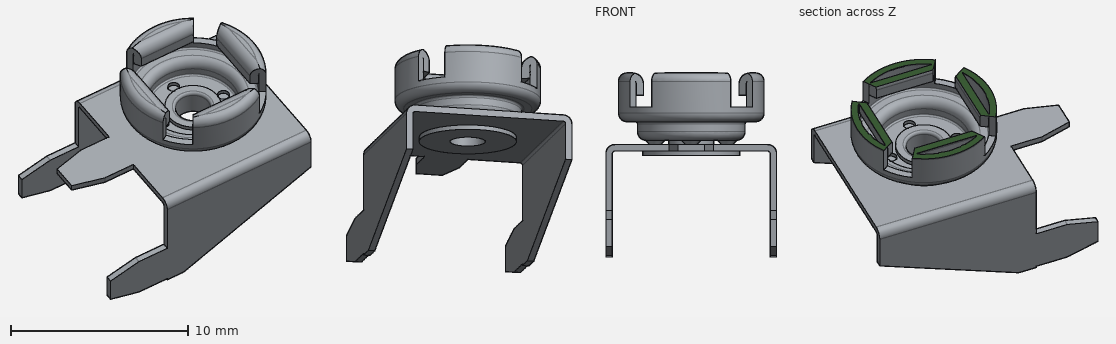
import cadquery as cq
import math


SHEET = 0.38
BEND_OUTER = 0.51
BEND_INNER = BEND_OUTER - SHEET
PLATE_SIDE = 9.65
PRONG_LENGTH = 3.81
PRONG_STRAIGHT = PRONG_LENGTH / 2
PRONG_WIDTH = 2.53
PRONG_TIP_WIDTH = 1.52
WALL_HEIGHT = 6.35
WALL_BACK_HEIGHT = 2.58
WALL_FOOT_LENGTH = 1.09
SIDE_PRONG_DEPTH = 5.0

CUP_SHEET = 0.4
CUP_BEND_INNER = 0.1
CUP_BEND_OUTER = CUP_BEND_INNER + CUP_SHEET
CUP_TOP = 4.05
CUP_BOTTOM = 0.23
RIM_RADIUS = 4.12
WELL_RADIUS = 3.04
SHOULDER_Z = 1.28
STEP_INNER = 0.13
STEP_OUTER = STEP_INNER + CUP_SHEET
SLOT_FLOOR_Z = 2.13
FINGER_COUNT = 4
FINGER_HALF_ANGLE = 33.0
HOOK_DISTANCE = 2.69
HOOK_LENGTH = 1.28
HOOK_BEND_OUTER = 0.65
HOOK_BEND_INNER = HOOK_BEND_OUTER - CUP_SHEET

DIMPLE_COUNT = 4
DIMPLE_RADIUS = 0.34
DIMPLE_CIRCLE_RADIUS = 2.03
DIMPLE_TAPER = 42.0

BORE_RADIUS = 1.0
BORE_LIP_RADIUS = 0.17
SHANK_RADIUS = 1.28
HEAD_RADIUS = 1.6
HEAD_HEIGHT = 0.24
FLANGE_RADIUS = 2.75
FLANGE_THICKNESS = 0.25

HALF_SIDE = PLATE_SIDE / 2
FRONT_Y = -HALF_SIDE
TIP_Y = FRONT_Y - PRONG_LENGTH
TAPER_Y = FRONT_Y - PRONG_STRAIGHT
CUP_FLOOR_Z = CUP_BOTTOM + CUP_SHEET
FINGER_PITCH = 360 / FINGER_COUNT
DIAGONAL = math.sqrt(0.5)


def disc(radius, bottom, top):
    """Solid cylinder on the rivet axis between two heights."""
    return cq.Workplane("XY").workplane(offset=bottom).circle(radius).extrude(top - bottom)


def turned(body, angle):
    """Copy of a body turned about the rivet axis."""
    return body.rotate((0, 0, 0), (0, 0, 1), angle)


def bracket_wall_outline():
    """Outline of a side wall with its prong, in the YZ plane."""
    half_width = PRONG_WIDTH / 2
    half_tip = PRONG_TIP_WIDTH / 2
    return [
        (HALF_SIDE, 0),
        (HALF_SIDE, -WALL_BACK_HEIGHT),
        (FRONT_Y + WALL_FOOT_LENGTH, -WALL_HEIGHT),
        (FRONT_Y, -WALL_HEIGHT),
        (FRONT_Y, -SIDE_PRONG_DEPTH - half_width),
        (TAPER_Y, -SIDE_PRONG_DEPTH - half_width),
        (TIP_Y, -SIDE_PRONG_DEPTH - half_tip),
        (TIP_Y, -SIDE_PRONG_DEPTH + half_tip),
        (TAPER_Y, -SIDE_PRONG_DEPTH + half_width),
        (FRONT_Y, -SIDE_PRONG_DEPTH + half_width),
        (FRONT_Y, 0),
    ]


def channel_block(width, top, height, bend_radius):
    """Long block below a given top height, whose two top edges along Y are rounded."""
    length = 2 * (HALF_SIDE + PRONG_LENGTH)
    return (
        cq.Workplane("XY")
        .box(width, length, height, centered=(True, True, False))
        .translate((0, 0, top - height))
        .edges("|Y and >Z")
        .fillet(bend_radius)
    )


def middle_prong_outline():
    """Outline of the prong in the plane of the plate, in the XY plane."""
    half_width = PRONG_WIDTH / 2
    half_tip = PRONG_TIP_WIDTH / 2
    return [
        (-half_width, FRONT_Y),
        (-half_width, TAPER_Y),
        (-half_tip, TIP_Y),
        (half_tip, TIP_Y),
        (half_width, TAPER_Y),
        (half_width, FRONT_Y),
    ]


def make_bracket():
    """Folded bracket: a U-shaped channel trimmed to the wall outline, plus the middle prong."""
    outer = channel_block(PLATE_SIDE, 0, WALL_HEIGHT, BEND_OUTER)
    inner = channel_block(PLATE_SIDE - 2 * SHEET, -SHEET, WALL_HEIGHT, BEND_INNER)
    side_profile = (
        cq.Workplane("YZ", origin=(-HALF_SIDE, 0, 0))
        .polyline(bracket_wall_outline())
        .close()
        .extrude(PLATE_SIDE)
    )
    middle_prong = (
        cq.Workplane("XY", origin=(0, 0, -SHEET))
        .polyline(middle_prong_outline())
        .close()
        .extrude(SHEET)
    )
    rivet_hole = disc(SHANK_RADIUS, -SHEET, 0)
    return outer.cut(inner).intersect(side_profile).union(middle_prong).cut(rivet_hole)


def cup_surface(rim, well, shoulder, bottom, top, corner_radius, step_radius):
    """Solid of revolution bounded by one skin of the cup, before slots and hooks are cut."""
    well_center = (well - corner_radius, bottom + corner_radius)
    step_center = (well + step_radius, shoulder - step_radius)
    rim_center = (rim - corner_radius, shoulder + corner_radius)
    top_center = (rim - corner_radius, top - corner_radius)
    corner_offset = corner_radius * DIAGONAL
    step_offset = step_radius * DIAGONAL
    return (
        cq.Workplane("XZ")
        .moveTo(0, bottom)
        .lineTo(well_center[0], bottom)
        .threePointArc(
            (well_center[0] + corner_offset, well_center[1] - corner_offset), (well, well_center[1])
        )
        .lineTo(well, step_center[1])
        .threePointArc(
            (step_center[0] - step_offset, step_center[1] + step_offset), (step_center[0], shoulder)
        )
        .lineTo(rim_center[0], shoulder)
        .threePointArc(
            (rim_center[0] + corner_offset, rim_center[1] - corner_offset), (rim, rim_center[1])
        )
        .lineTo(rim, top_center[1])
        .threePointArc(
            (top_center[0] + corner_offset, top_center[1] + corner_offset), (top_center[0], top)
        )
        .lineTo(0, top)
        .close()
        .revolve(360, (0, 0, 0), (0, 1, 0))
    )


def fold_block(distance, bottom, top, bend_radius):
    """Block beyond a flat face at +X, with the top edge of that face rounded."""
    return (
        cq.Workplane("XY")
        .box(RIM_RADIUS, 2 * RIM_RADIUS, top - bottom, centered=(False, True, False))
        .translate((distance, 0, bottom))
        .edges("<X and >Z")
        .fillet(bend_radius)
    )


def make_hook():
    """Flange at +X that bends down from the rim, with a gap between it and the cup wall."""
    hook_bottom = CUP_TOP - HOOK_LENGTH
    skin = fold_block(HOOK_DISTANCE, hook_bottom, CUP_TOP, HOOK_BEND_OUTER)
    gap = fold_block(HOOK_DISTANCE + CUP_SHEET, hook_bottom, CUP_TOP - CUP_SHEET, HOOK_BEND_INNER)
    return skin.cut(gap)


def cup_interior():
    """Space inside the cup, around and between its hooks."""
    interior = cup_surface(
        RIM_RADIUS - CUP_SHEET,
        WELL_RADIUS - CUP_SHEET,
        SHOULDER_Z + CUP_SHEET,
        CUP_FLOOR_Z,
        CUP_TOP - CUP_SHEET,
        CUP_BEND_INNER,
        STEP_OUTER,
    )
    interior = interior.union(disc(RIM_RADIUS, CUP_TOP - CUP_SHEET, CUP_TOP))
    hook = make_hook()
    for i in range(FINGER_COUNT):
        interior = interior.cut(turned(hook, i * FINGER_PITCH))
    return interior


def make_slot():
    """Wedge-shaped gap beside the +X finger, with both sides pointing at the axis."""
    reach = 2 * RIM_RADIUS
    side_angles = [
        math.radians(FINGER_HALF_ANGLE),
        math.radians(FINGER_PITCH - FINGER_HALF_ANGLE),
    ]
    corners = [(reach * math.cos(angle), reach * math.sin(angle)) for angle in side_angles]
    return (
        cq.Workplane("XY", origin=(0, 0, SLOT_FLOOR_Z))
        .polyline([(0, 0), *corners])
        .close()
        .extrude(CUP_TOP - SLOT_FLOOR_Z)
    )


def make_dimple():
    """Conical boss under the cup floor on the +X side, sunk a little into the floor."""
    height = CUP_BOTTOM + CUP_BEND_INNER
    return (
        cq.Workplane("XY", origin=(DIMPLE_CIRCLE_RADIUS, 0, 0))
        .circle(DIMPLE_RADIUS)
        .extrude(height, taper=-DIMPLE_TAPER)
    )


def make_dimple_recess():
    """Round recess in the cup floor above the +X dimple, as deep as the dimple is high."""
    recess = disc(DIMPLE_RADIUS, CUP_FLOOR_Z - CUP_BOTTOM, CUP_FLOOR_Z)
    return recess.translate((DIMPLE_CIRCLE_RADIUS, 0, 0))


def make_cup():
    """Sheet-metal cup with slotted rim, four hooks and four dimples."""
    cup = cup_surface(
        RIM_RADIUS, WELL_RADIUS, SHOULDER_Z, CUP_BOTTOM, CUP_TOP, CUP_BEND_OUTER, STEP_INNER
    )
    cup = cup.cut(cup_interior())
    slot = make_slot()
    for i in range(FINGER_COUNT):
        cup = cup.cut(turned(slot, i * FINGER_PITCH))
    dimple = make_dimple()
    recess = make_dimple_recess()
    for i in range(DIMPLE_COUNT):
        angle = i * 360 / DIMPLE_COUNT
        cup = cup.union(turned(dimple, angle)).cut(turned(recess, angle))
    return cup.cut(disc(SHANK_RADIUS, CUP_BOTTOM, CUP_FLOOR_Z))


def make_rivet():
    """Hollow rivet: wide flange under the bracket, shank, and a small head on the cup floor."""
    head_top = CUP_FLOOR_Z + HEAD_HEIGHT
    flange_bottom = -SHEET - FLANGE_THICKNESS
    return (
        disc(FLANGE_RADIUS, flange_bottom, -SHEET)
        .union(disc(SHANK_RADIUS, -SHEET, CUP_FLOOR_Z))
        .union(disc(HEAD_RADIUS, CUP_FLOOR_Z, head_top))
        .cut(disc(BORE_RADIUS, flange_bottom, head_top))
        .faces(">Z")
        .edges(cq.selectors.RadiusNthSelector(0))
        .fillet(BORE_LIP_RADIUS)
    )


bracket = make_bracket()
cup = make_cup()
rivet = make_rivet()

result = cq.Compound.makeCompound([bracket.val(), cup.val(), rivet.val()])